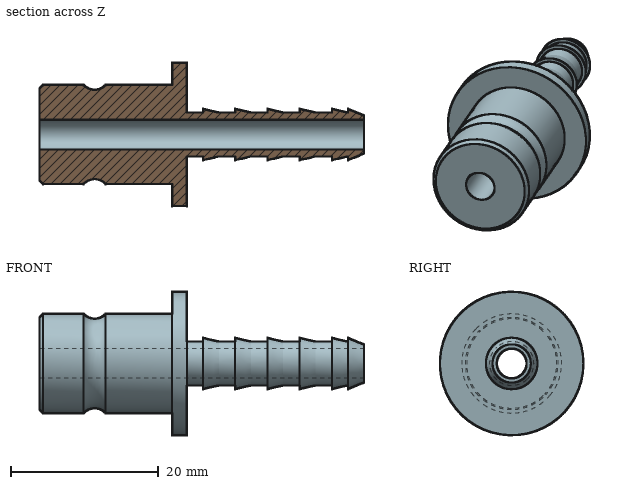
import cadquery as cq

total_length = 44.0
bore_diameter = 4.0

body_radius = 13.5 / 2
nose_chamfer = 0.5
groove_center = 7.5
groove_width = 3.0
groove_depth = 0.65

flange_radius = 19.5 / 2
flange_start = 18.0
flange_end = 19.98

stem_radius = 6.0 / 2
barb_radius = 7.0 / 2
tip_end_radius = 5.2 / 2
barb_count = 5
segment_count = 2 * barb_count + 1
segment_length = (total_length - flange_end) / segment_count
tip_start = total_length - segment_length


def cone_segment(start, start_radius, end_radius):
    """One hose-tail segment tapering along +X, with a flat shoulder at its start."""
    profile = [
        (start, 0),
        (start, start_radius),
        (start + segment_length, end_radius),
        (start + segment_length, 0),
    ]
    return cq.Workplane("XY").polyline(profile).close().revolve(360, (0, 0, 0), (1, 0, 0))


def plug_flange_and_stem():
    """Plug body, flange and plain stem, up to the start of the tip."""
    groove_start = groove_center - groove_width / 2
    groove_end = groove_center + groove_width / 2
    return (
        cq.Workplane("XY")
        .moveTo(0, 0)
        .lineTo(0, body_radius - nose_chamfer)
        .lineTo(nose_chamfer, body_radius)
        .lineTo(groove_start, body_radius)
        .threePointArc((groove_center, body_radius - groove_depth), (groove_end, body_radius))
        .lineTo(flange_start, body_radius)
        .lineTo(flange_start, flange_radius)
        .lineTo(flange_end, flange_radius)
        .lineTo(flange_end, stem_radius)
        .lineTo(tip_start, stem_radius)
        .lineTo(tip_start, 0)
        .close()
        .revolve(360, (0, 0, 0), (1, 0, 0))
    )


result = plug_flange_and_stem()

for barb in range(barb_count):
    barb_start = flange_end + (2 * barb + 1) * segment_length
    result = result.union(cone_segment(barb_start, barb_radius, stem_radius))

result = result.union(cone_segment(tip_start, barb_radius, tip_end_radius))

bore = cq.Workplane("YZ").circle(bore_diameter / 2).extrude(total_length)
result = result.cut(bore)